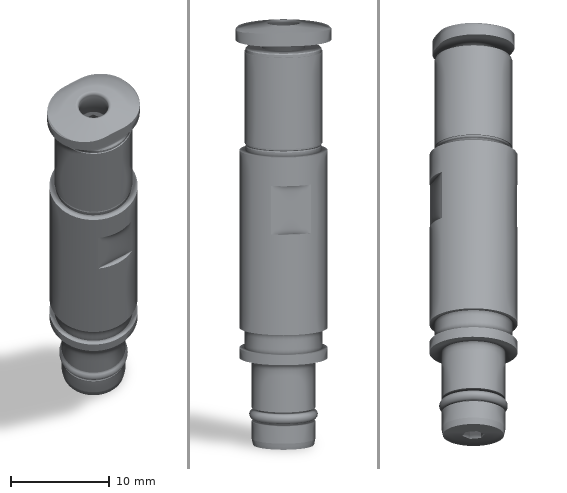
import cadquery as cq
import math

TOTAL_HEIGHT = 43.7
BOTTOM_TAPER_TOP = 0.65
RING_GROOVE_BOTTOM = 2.45
RING_GROOVE_TOP = 3.9
FLANGE_BOTTOM = 9.0
FLANGE_TOP = 10.05
BODY_BOTTOM = 12.1
FLATS_BOTTOM = 22.5
FLATS_TOP = 27.55
BODY_TOP = 30.5
JOINT_HEIGHT = 31.03
SLEEVE_BOTTOM = 31.3
SLEEVE_TOP = 40.75
BUSH_TOP = 41.1
CAP_BOTTOM = 41.9

BODY_DIAMETER = 9.0
SLEEVE_DIAMETER = 8.0
BUSH_DIAMETER = 7.8
STEM_DIAMETER = 6.5
RING_GROOVE_DIAMETER = 5.03
NECK_DIAMETER = 4.4

BOTTOM_TAPER = 0.15
BUSH_CHAMFER = 0.1
NECK_FILLET = 0.4

RING_OUTER_DIAMETER = 7.0
RING_SECTION_DIAMETER = 1.0

FLATS_SPACING = SLEEVE_DIAMETER

CAP_WIDTH = BUSH_DIAMETER
CAP_LENGTH = 9.8
CAP_SLOPE_DEGREES = 10.0
CAP_EDGE_CHAMFER = 0.155

BORE_DIAMETER = 3.0
BORE_DEPTH = 3.0
BORE_EDGE_RADIUS = 0.3
HEX_ACROSS_FLATS = 2.0


def revolve_about_z(profile):
    return profile.close().revolve(360, (0, 0, 0), (0, 1, 0))


def make_turned_body():
    """Everything below the cap, with the sealing ring, revolved from its half profile."""
    body_radius = BODY_DIAMETER / 2
    sleeve_radius = SLEEVE_DIAMETER / 2
    bush_radius = BUSH_DIAMETER / 2
    bush_end_radius = bush_radius - BUSH_CHAMFER
    stem_radius = STEM_DIAMETER / 2
    groove_radius = RING_GROOVE_DIAMETER / 2
    neck_radius = NECK_DIAMETER / 2

    ring_height = (RING_GROOVE_BOTTOM + RING_GROOVE_TOP) / 2
    section_radius = RING_SECTION_DIAMETER / 2
    section_centre = RING_OUTER_DIAMETER / 2 - section_radius
    contact = math.sqrt(section_radius**2 - (section_centre - groove_radius) ** 2)

    fillet_mid = NECK_FILLET * (1 - math.sqrt(0.5))

    profile = (
        cq.Workplane("XZ")
        .lineTo(stem_radius - BOTTOM_TAPER, 0)
        .lineTo(stem_radius, BOTTOM_TAPER_TOP)
        .lineTo(stem_radius, RING_GROOVE_BOTTOM)
        .lineTo(groove_radius, RING_GROOVE_BOTTOM)
        .lineTo(groove_radius, ring_height - contact)
        .threePointArc((RING_OUTER_DIAMETER / 2, ring_height), (groove_radius, ring_height + contact))
        .lineTo(groove_radius, RING_GROOVE_TOP)
        .lineTo(stem_radius, RING_GROOVE_TOP)
        .lineTo(stem_radius, FLANGE_BOTTOM)
        .lineTo(body_radius, FLANGE_BOTTOM)
        .lineTo(body_radius, FLANGE_TOP)
        .lineTo(sleeve_radius, FLANGE_TOP)
        .lineTo(sleeve_radius, BODY_BOTTOM)
        .lineTo(body_radius, BODY_BOTTOM)
        .lineTo(body_radius, BODY_TOP)
        .lineTo(bush_radius, BODY_TOP)
        .lineTo(bush_radius, JOINT_HEIGHT - BUSH_CHAMFER)
        .lineTo(bush_end_radius, JOINT_HEIGHT)
        .lineTo(bush_radius, JOINT_HEIGHT + BUSH_CHAMFER)
        .lineTo(bush_radius, SLEEVE_BOTTOM)
        .lineTo(sleeve_radius, SLEEVE_BOTTOM)
        .lineTo(sleeve_radius, SLEEVE_TOP)
        .lineTo(bush_radius, SLEEVE_TOP)
        .lineTo(bush_radius, BUSH_TOP - BUSH_CHAMFER)
        .lineTo(bush_end_radius, BUSH_TOP)
        .lineTo(neck_radius, BUSH_TOP)
        .lineTo(neck_radius, CAP_BOTTOM - NECK_FILLET)
        .threePointArc(
            (neck_radius + fillet_mid, CAP_BOTTOM - fillet_mid),
            (neck_radius + NECK_FILLET, CAP_BOTTOM),
        )
        .lineTo(0, CAP_BOTTOM)
    )
    return revolve_about_z(profile)


def make_cap():
    """Chamfered disc with a conical top, narrowed to an oval."""
    outer_radius = CAP_LENGTH / 2
    chamfer_radius = outer_radius - CAP_EDGE_CHAMFER
    flat_radius = BORE_DIAMETER / 2 + BORE_EDGE_RADIUS
    cone_drop = (chamfer_radius - flat_radius) * math.tan(math.radians(CAP_SLOPE_DEGREES))
    cone_bottom = TOTAL_HEIGHT - cone_drop
    disc = revolve_about_z(
        cq.Workplane("XZ")
        .moveTo(0, CAP_BOTTOM)
        .lineTo(outer_radius, CAP_BOTTOM)
        .lineTo(outer_radius, cone_bottom - CAP_EDGE_CHAMFER)
        .lineTo(chamfer_radius, cone_bottom)
        .lineTo(flat_radius, TOTAL_HEIGHT)
        .lineTo(0, TOTAL_HEIGHT)
    )
    oval = (
        cq.Workplane("XY")
        .workplane(offset=CAP_BOTTOM)
        .slot2D(CAP_LENGTH, CAP_WIDTH, 90)
        .extrude(TOTAL_HEIGHT - CAP_BOTTOM)
    )
    return disc.intersect(oval)


def make_flats_cutter():
    """Material outside the two flats, over their height."""
    height = FLATS_TOP - FLATS_BOTTOM
    outside = cq.Workplane("XY").box(2 * BODY_DIAMETER, BODY_DIAMETER, height)
    between = cq.Workplane("XY").box(FLATS_SPACING, BODY_DIAMETER, height)
    return outside.cut(between).translate((0, 0, FLATS_BOTTOM + height / 2))


def make_socket_cutter():
    """Round bore with a rounded mouth, above a hexagonal hole through the whole part."""
    bore_radius = BORE_DIAMETER / 2
    edge_mid = BORE_EDGE_RADIUS * (1 - math.sqrt(0.5))
    bore = revolve_about_z(
        cq.Workplane("XZ")
        .moveTo(0, TOTAL_HEIGHT - BORE_DEPTH)
        .lineTo(bore_radius, TOTAL_HEIGHT - BORE_DEPTH)
        .lineTo(bore_radius, TOTAL_HEIGHT - BORE_EDGE_RADIUS)
        .threePointArc(
            (bore_radius + edge_mid, TOTAL_HEIGHT - edge_mid),
            (bore_radius + BORE_EDGE_RADIUS, TOTAL_HEIGHT),
        )
        .lineTo(0, TOTAL_HEIGHT)
    )
    across_corners = HEX_ACROSS_FLATS / math.cos(math.radians(30))
    hexagon = (
        cq.Workplane("XY")
        .transformed(rotate=(0, 0, 90))
        .polygon(6, across_corners)
        .extrude(TOTAL_HEIGHT)
    )
    return bore.union(hexagon)


result = (
    make_turned_body()
    .union(make_cap())
    .cut(make_flats_cutter())
    .cut(make_socket_cutter())
)